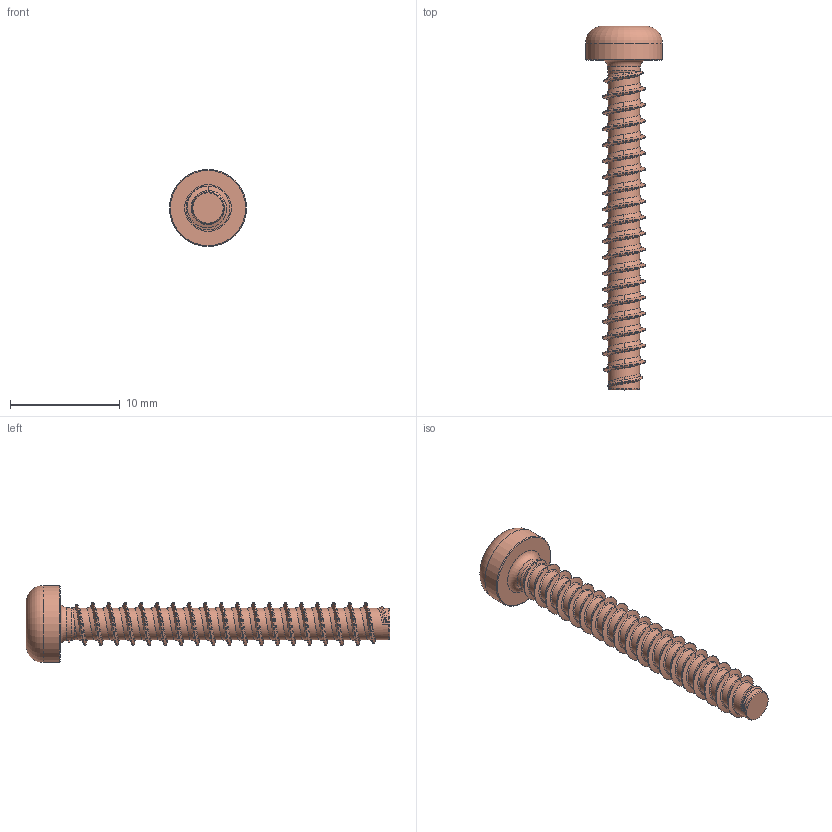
import math

import cadquery as cq


HEAD_RADIUS = 3.5
HEAD_HEIGHT = 3.09
HEAD_CROWN_RADIUS = 1.55
HEAD_RIM_CHAMFER = 0.08

SHANK_LENGTH = 30.0
NECK_RADIUS = 1.5
NECK_FILLET = 0.62
NECK_LENGTH = 1.0
CORE_RADIUS = 1.43
CORE_START = 1.3
TIP_RADIUS = 1.38
TIP_TAPER_LENGTH = 0.1

PITCH = 1.46
CREST_RADIUS = 2.0
CREST_HALF_WIDTH = 0.03
KNEE_RADIUS = 1.55
TIP_SIDE_KNEE_OFFSET = -0.13
HEAD_SIDE_KNEE_OFFSET = 0.19
TIP_SIDE_ROOT_OFFSET = -0.25
HEAD_SIDE_ROOT_OFFSET = 0.76
ROOT_RADIUS = 1.38
THREAD_TURNS = 19.75
THREAD_END_Y = -29.63
FIRST_SEAM_TURN = 0.25
RUN_IN_TURNS = 1.25
RUN_IN_CREST_RADIUS = 1.66
RUN_OUT_TURNS = 1.25
RUN_OUT_CREST_RADIUS = 1.47
POINTS_PER_TURN = 12


def make_body():
    """Revolve head, neck fillet and core about the Y axis."""
    crown_flat = HEAD_RADIUS - HEAD_CROWN_RADIUS
    crown_base = HEAD_HEIGHT - HEAD_CROWN_RADIUS
    diagonal = math.sqrt(0.5)
    crown_mid = (crown_flat + HEAD_CROWN_RADIUS * diagonal, crown_base + HEAD_CROWN_RADIUS * diagonal)
    fillet_outer = NECK_RADIUS + NECK_FILLET
    fillet_mid = (fillet_outer - NECK_FILLET * diagonal, -NECK_FILLET + NECK_FILLET * diagonal)
    return (
        cq.Workplane("XY")
        .moveTo(0, HEAD_HEIGHT)
        .lineTo(crown_flat, HEAD_HEIGHT)
        .threePointArc(crown_mid, (HEAD_RADIUS, crown_base))
        .lineTo(HEAD_RADIUS, HEAD_RIM_CHAMFER)
        .lineTo(HEAD_RADIUS - HEAD_RIM_CHAMFER, 0)
        .lineTo(fillet_outer, 0)
        .threePointArc(fillet_mid, (NECK_RADIUS, -NECK_FILLET))
        .lineTo(NECK_RADIUS, -NECK_LENGTH)
        .lineTo(CORE_RADIUS, -CORE_START)
        .lineTo(CORE_RADIUS, -SHANK_LENGTH + TIP_TAPER_LENGTH)
        .lineTo(TIP_RADIUS, -SHANK_LENGTH)
        .lineTo(0, -SHANK_LENGTH)
        .close()
        .revolve(360, (0, 0, 0), (0, 1, 0))
        .val()
    )


def crest_drop(turn):
    """How far the crest lies below its full radius, at a number of turns from the tip end."""
    run_out = max(0, 1 - turn / RUN_OUT_TURNS)
    run_in = max(0, 1 - (THREAD_TURNS - turn) / RUN_IN_TURNS)
    return (CREST_RADIUS - RUN_OUT_CREST_RADIUS) * run_out + (CREST_RADIUS - RUN_IN_CREST_RADIUS) * run_in


def helix_point(turn, radius, offset):
    """Point on the thread, with an axial offset from the crest line."""
    angle = 2 * math.pi * turn
    y = THREAD_END_Y + PITCH * turn + offset
    return cq.Vector(-radius * math.cos(angle), y, radius * math.sin(angle))


def helix_edge(full_radius, offset, start, end):
    """Helical edge whose height above the core shrinks in the run-out and run-in; the root stays put."""
    height_share = max(0, (full_radius - CORE_RADIUS) / (CREST_RADIUS - CORE_RADIUS))
    count = math.ceil((end - start) * POINTS_PER_TURN)
    points = []
    for step in range(count + 1):
        turn = start + step * (end - start) / count
        radius = full_radius - height_share * crest_drop(turn)
        points.append(helix_point(turn, radius, offset))
    return cq.Edge.makeSpline(points)


def make_thread():
    """Close the ruled flanks between helical edges, one turn at a time, into one solid."""
    profile = [
        (ROOT_RADIUS, TIP_SIDE_ROOT_OFFSET),
        (KNEE_RADIUS, TIP_SIDE_KNEE_OFFSET),
        (CREST_RADIUS, -CREST_HALF_WIDTH),
        (CREST_RADIUS, CREST_HALF_WIDTH),
        (KNEE_RADIUS, HEAD_SIDE_KNEE_OFFSET),
        (ROOT_RADIUS, HEAD_SIDE_ROOT_OFFSET),
    ]
    whole_turns = math.floor(THREAD_TURNS - FIRST_SEAM_TURN)
    seams = [FIRST_SEAM_TURN + turn for turn in range(whole_turns + 1)]
    breaks = [0] + seams + [THREAD_TURNS]
    faces = []
    end_corners = []
    for start, end in zip(breaks, breaks[1:]):
        edges = [helix_edge(radius, offset, start, end) for radius, offset in profile]
        for edge, following in zip(edges, edges[1:] + edges[:1]):
            faces.append(cq.Face.makeRuledSurface(edge, following))
        if start == 0:
            end_corners.append([edge.startPoint() for edge in edges])
        if end == THREAD_TURNS:
            end_corners.append([edge.endPoint() for edge in edges])
    for corners in end_corners:
        faces.append(cq.Face.makeFromWires(cq.Wire.makePolygon(corners, close=True)))
    return cq.Solid.makeSolid(cq.Shell.makeShell(faces))


result = cq.Workplane("XY").newObject([make_body().fuse(make_thread())])